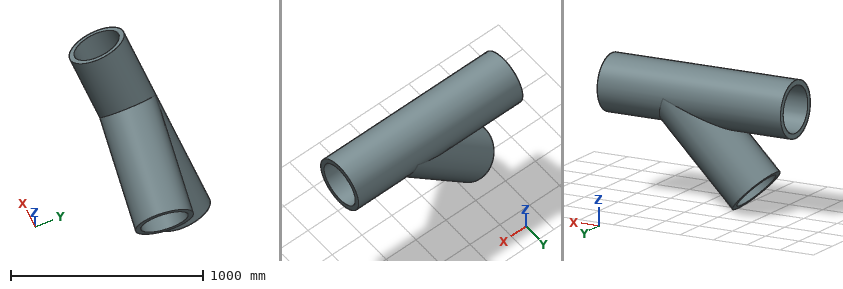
import cadquery as cq
import math

OUTER_DIAMETER = 315.0
BORE_DIAMETER = 257.8
RUN_LENGTH = 1100.0
RUN_LEFT_LENGTH = 705.0
BRANCH_ANGLE = 45.0
BRANCH_STRAIGHT = 285.0

crotch_distance = OUTER_DIAMETER / 2 / math.tan(math.radians(BRANCH_ANGLE / 2))
branch_length = crotch_distance + BRANCH_STRAIGHT

run_start = cq.Vector(-RUN_LEFT_LENGTH, 0, 0)
run_direction = cq.Vector(1, 0, 0)
axis_crossing = cq.Vector(0, 0, 0)
branch_direction = cq.Vector(
    -math.cos(math.radians(BRANCH_ANGLE)),
    0,
    -math.sin(math.radians(BRANCH_ANGLE)),
)


def rod(diameter, length, start, direction):
    """Solid cylinder running from start along direction."""
    return cq.Workplane(cq.Solid.makeCylinder(diameter / 2, length, start, direction))


def crossed_rods(diameter):
    """Run and branch cylinders of one diameter, joined."""
    run = rod(diameter, RUN_LENGTH, run_start, run_direction)
    branch = rod(diameter, branch_length, axis_crossing, branch_direction)
    return run.union(branch)


result = crossed_rods(OUTER_DIAMETER).cut(crossed_rods(BORE_DIAMETER))